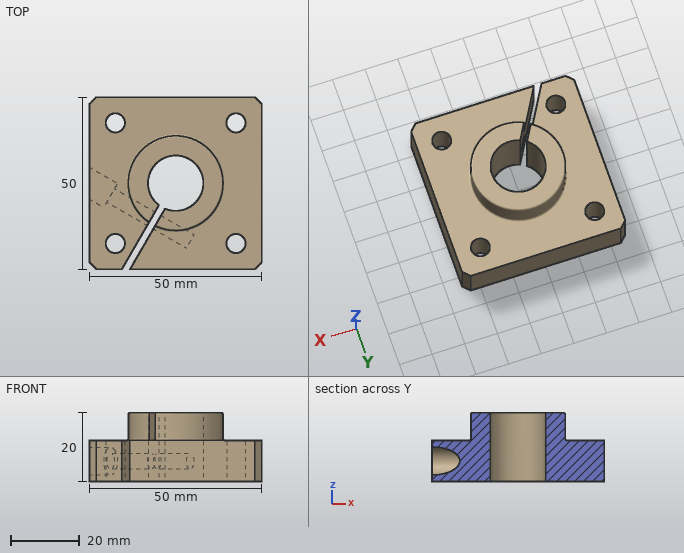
import cadquery as cq
import math

flange_side = 50
flange_height = 12
corner_chamfer = 2

total_height = 20
boss_diameter = 27.5
boss_edge_radius = 0.5
bore_diameter = 16

mount_spacing = 35
mount_diameter = 5.5

slit_width = 2
slit_angle = 240

screw_angle = slit_angle + 90
screw_head_diameter = 8
screw_head_depth = 7
screw_diameter = 4.5
thread_depth = 12


def make_flange():
    flange = cq.Workplane("XY").box(flange_side, flange_side, flange_height, centered=(True, True, False))
    return flange.edges("|Z").chamfer(corner_chamfer)


def make_boss():
    """Turned boss with a rounded top edge and a fillet at its foot."""
    radius = boss_diameter / 2
    edge = boss_edge_radius
    return (
        cq.Workplane("XZ")
        .lineTo(radius + edge, 0)
        .lineTo(radius + edge, flange_height)
        .radiusArc((radius, flange_height + edge), edge)
        .lineTo(radius, total_height - edge)
        .radiusArc((radius - edge, total_height), -edge)
        .lineTo(0, total_height)
        .close()
        .revolve(360, (0, 0, 0), (0, 1, 0))
    )


def make_slit():
    return (
        cq.Workplane("XY")
        .box(flange_side, slit_width, total_height, centered=(False, True, False))
        .rotate((0, 0, 0), (0, 0, 1), slit_angle)
    )


def make_screw_hole():
    """Counterbored blind hole, extended outward so that it opens fully on the slanted face."""
    slope = math.radians(screw_angle)
    direction = cq.Vector(math.cos(slope), math.sin(slope), 0)
    entry = cq.Vector(-flange_side / 2, 0, flange_height / 2)
    overrun = screw_head_diameter
    start = entry - direction * overrun
    slit_distance = flange_side / 2 * math.cos(slope)
    screw_depth = slit_distance + thread_depth
    head = cq.Solid.makeCylinder(screw_head_diameter / 2, overrun + screw_head_depth, start, direction)
    shank = cq.Solid.makeCylinder(screw_diameter / 2, overrun + screw_depth, start, direction)
    return cq.Workplane(head).union(cq.Workplane(shank))


mount_holes = (
    cq.Workplane("XY")
    .rect(mount_spacing, mount_spacing, forConstruction=True)
    .vertices()
    .circle(mount_diameter / 2)
    .extrude(flange_height)
)
bore = cq.Workplane("XY").circle(bore_diameter / 2).extrude(total_height)

result = make_flange().union(make_boss())
for cutter in (mount_holes, bore, make_slit(), make_screw_hole()):
    result = result.cut(cutter)